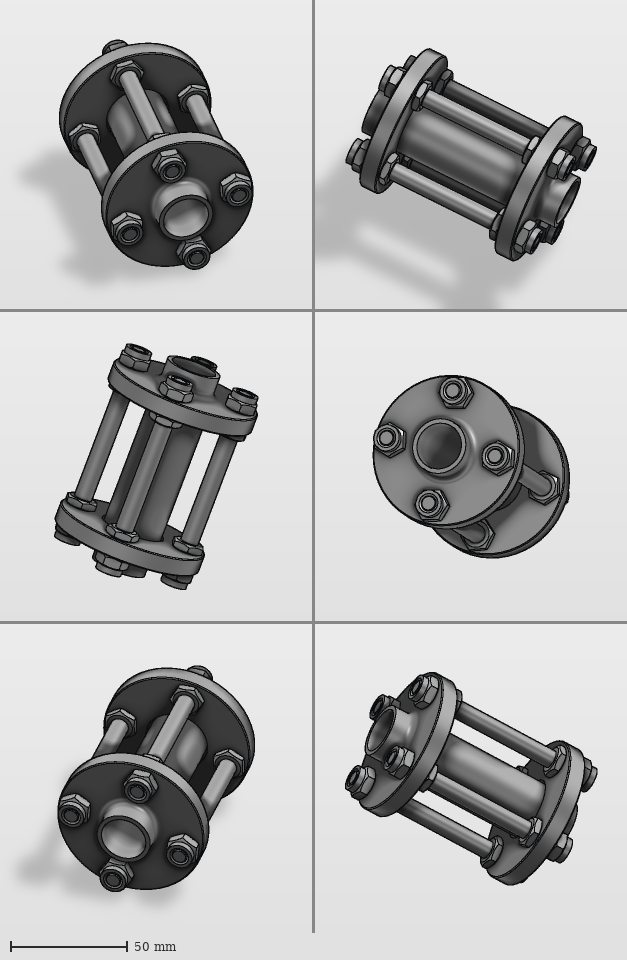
import cadquery as cq
import math

total_length = 94.0
half_length = total_length / 2

flange_diameter = 66.0
flange_thickness = 8.0
flange_chamfer = 0.5
stub_length = 10.0
stub_diameter = 24.0
stub_fillet = 3.0
bore_diameter = 20.0

tube_diameter = 26.0
recess_diameter = 28.0
recess_depth = 3.0

rod_count = 4
rod_circle_radius = 25.0
first_rod_angle = 12.6
rod_diameter = 8.0

groove_outer_diameter = 8.5
groove_root_diameter = 6.7
groove_inner_diameter = 5.9
groove_depth = 0.5

nut_across_flats = 13.0
nut_face_diameter = 11.6
nut_chamfer_angle = 30.0
lock_nut_height = 8.0
lock_nut_hex_height = 5.2
thin_nut_height = 4.0

left_lock_nut_turn = 3.5
left_thin_nut_turn = 8.3
right_lock_nut_turn = 1.2
right_thin_nut_turn = -1.7

flange_outer_x = half_length - stub_length
flange_inner_x = flange_outer_x - flange_thickness
recess_floor_x = flange_inner_x + recess_depth
thin_nut_inner_x = flange_inner_x - thin_nut_height
rod_end_x = flange_outer_x + lock_nut_height
nut_across_corners = nut_across_flats / math.cos(math.radians(30))


def x_cylinder(diameter, start_x, end_x):
    """Solid cylinder on the X axis."""
    return cq.Workplane("YZ", origin=(start_x, 0, 0)).circle(diameter / 2).extrude(end_x - start_x)


def revolve_about_x(points):
    """Solid of revolution about the X axis from an outline of (x, radius) points."""
    return cq.Workplane("XY").polyline(points).close().revolve(360, (0, 0, 0), (1, 0, 0))


def turned(shape, degrees):
    """Rotate about the X axis, +Y toward +Z."""
    return shape.rotate((0, 0, 0), (1, 0, 0), degrees)


def right_flange():
    """Flange at the +X end with its filleted pipe stub and the tube recess."""
    flange = x_cylinder(flange_diameter, flange_inner_x, flange_outer_x)
    flange = flange.edges().chamfer(flange_chamfer)
    flange = flange.union(x_cylinder(stub_diameter, flange_inner_x, half_length))
    stub_root = cq.selectors.BoxSelector(
        (flange_outer_x - stub_fillet, -stub_diameter, -stub_diameter),
        (flange_outer_x + stub_fillet, stub_diameter, stub_diameter),
        boundingbox=True,
    )
    flange = flange.edges(stub_root).fillet(stub_fillet)
    return flange.cut(x_cylinder(recess_diameter, flange_inner_x, recess_floor_x))


def hex_nut(start_x, height):
    """Hexagon nut on the X axis with two corners along Z and both faces chamfered."""
    end_x = start_x + height
    hexagon = cq.Workplane("YZ", origin=(start_x, 0, 0)).polygon(6, nut_across_corners).extrude(height)
    face_radius = nut_face_diameter / 2
    corner_radius = nut_across_corners / 2
    drop = (corner_radius - face_radius) * math.tan(math.radians(nut_chamfer_angle))
    envelope = revolve_about_x([
        (start_x, 0),
        (start_x, face_radius),
        (start_x + drop, corner_radius),
        (end_x - drop, corner_radius),
        (end_x, face_radius),
        (end_x, 0),
    ])
    return turned(hexagon, 90).intersect(envelope)


def lock_nut():
    """Nut on the outer face of the +X flange, ending in a round collar."""
    collar = x_cylinder(nut_face_diameter, flange_outer_x, rod_end_x)
    return hex_nut(flange_outer_x, lock_nut_hex_height).union(collar)


def thin_nut():
    """Nut on the inner face of the +X flange."""
    return hex_nut(thin_nut_inner_x, thin_nut_height)


def tip_groove():
    """Ring removed around the +X rod tip."""
    return revolve_about_x([
        (rod_end_x, groove_inner_diameter / 2),
        (rod_end_x - groove_depth, groove_root_diameter / 2),
        (rod_end_x, groove_outer_diameter / 2),
    ])


def tie_rod_with_nuts():
    """Tie rod on the X axis carrying a lock nut and a thin nut at each end."""
    rod = x_cylinder(rod_diameter, -rod_end_x, rod_end_x)
    rod = rod.union(turned(lock_nut(), right_lock_nut_turn))
    rod = rod.union(turned(thin_nut(), right_thin_nut_turn))
    rod = rod.union(turned(lock_nut().mirror("YZ"), left_lock_nut_turn))
    rod = rod.union(turned(thin_nut().mirror("YZ"), left_thin_nut_turn))
    return rod.cut(tip_groove()).cut(tip_groove().mirror("YZ"))


result = x_cylinder(tube_diameter, -recess_floor_x, recess_floor_x)
result = result.union(right_flange()).union(right_flange().mirror("YZ"))
result = result.cut(x_cylinder(bore_diameter, -half_length, half_length))

first_rod_y = rod_circle_radius * math.cos(math.radians(first_rod_angle))
first_rod_z = rod_circle_radius * math.sin(math.radians(first_rod_angle))
first_rod = tie_rod_with_nuts().translate((0, first_rod_y, first_rod_z))
for i in range(rod_count):
    result = result.union(turned(first_rod, i * 360 / rod_count))